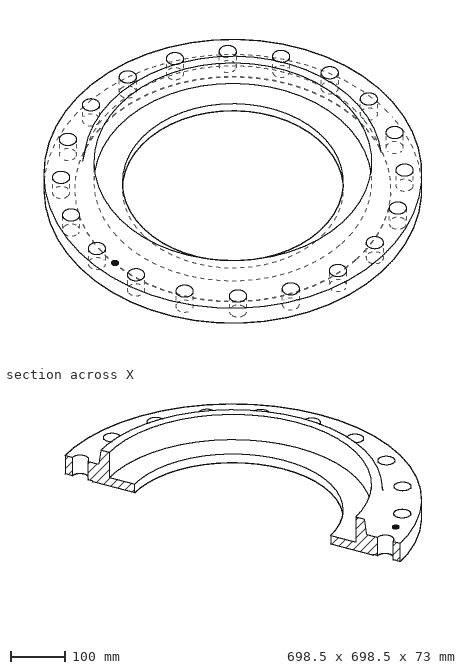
import cadquery as cq
import math

flange_diameter = 698.5
flange_thickness = 39.7

face_diameter = 584.2
face_height = 1.6

overall_height = 72.96
hub_base_diameter = 558.8
hub_top_diameter = 550.0
hub_root_fillet = 2.0
hub_rim_fillet = 2.0

socket_diameter = 513.0
floor_thickness = 19.0
bore_diameter = 408.0

bolt_circle_diameter = 635.0
bolt_hole_count = 20
bolt_hole_diameter = 31.75

groove_outer_diameter = 12.7
groove_inner_diameter = 9.0
dimple_diameter = 4.0
mark_depth = 1.0

flange_top = face_height + flange_thickness
bolt_pitch_angle = 360.0 / bolt_hole_count


def disc(diameter, height, bottom):
    """Upright cylinder on the part axis."""
    return cq.Workplane("XY").workplane(offset=bottom).circle(diameter / 2).extrude(height)


def make_hub():
    """Solid truncated cone standing on the flange ring."""
    return (
        cq.Workplane("XY")
        .workplane(offset=flange_top)
        .circle(hub_base_diameter / 2)
        .workplane(offset=overall_height - flange_top)
        .circle(hub_top_diameter / 2)
        .loft(ruled=True)
    )


def make_body():
    """Raised face, flange ring and hub, with the hub rim rounded and its root blended."""
    body = disc(face_diameter, face_height, 0)
    body = body.union(disc(flange_diameter, flange_thickness, face_height))
    body = body.union(make_hub())
    root_edge = cq.selectors.RadiusNthSelector(1)
    body = body.edges("%CIRCLE").edges(root_edge).fillet(hub_root_fillet)
    return body.faces(">Z").edges().fillet(hub_rim_fillet)


def cut_opening(body):
    """Socket down to the floor, then the bore through it."""
    socket = disc(socket_diameter, overall_height - floor_thickness, floor_thickness)
    bore = disc(bore_diameter, floor_thickness, 0)
    return body.cut(socket).cut(bore)


def cut_bolt_holes(body):
    """Ring of through holes, the first one on the +X axis."""
    holes = (
        cq.Workplane("XY")
        .polarArray(bolt_circle_diameter / 2, 0, 360, bolt_hole_count)
        .circle(bolt_hole_diameter / 2)
        .extrude(flange_top)
    )
    return body.cut(holes)


def cut_ring_mark(body):
    """Shallow ring groove with a central dimple, midway between two bolt holes."""
    angle = math.radians(-90 + bolt_pitch_angle / 2)
    radius = bolt_circle_diameter / 2
    mark_floor = flange_top - mark_depth
    groove = disc(groove_outer_diameter, mark_depth, mark_floor)
    groove = groove.cut(disc(groove_inner_diameter, mark_depth, mark_floor))
    mark = groove.union(disc(dimple_diameter, mark_depth, mark_floor))
    return body.cut(mark.translate((radius * math.cos(angle), radius * math.sin(angle), 0)))


result = cut_ring_mark(cut_bolt_holes(cut_opening(make_body())))